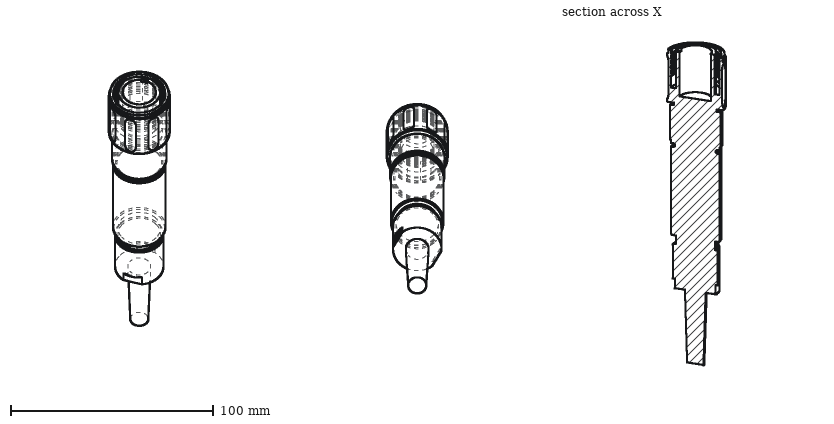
import cadquery as cq

total_length = 167.0
collar_top = 166.0
collar_step_z = 163.6
collar_bottom = 137.7
coupling_top = 136.7
coupling_bottom = 117.5
groove_top = 116.0
body_top = 114.2
body_bottom = 67.0
shell_top = 62.6
shell_bottom = 38.7

collar_radius = 30.2 / 2
collar_rim_radius = 14.5
coupling_radius = 13.5
body_radius = 13.0
shell_radius = 12.0
upper_neck_radius = 11.5
groove_radius = 11.0
lower_neck_radius = 10.5
cable_top_radius = 5.7
cable_end_radius = 4.5
edge_chamfer = 0.5
body_chamfer = 0.8
groove_chamfer = 0.7

sleeve_radius = 10.3
bore_radius = 8.2
bore_depth = 25.0
key_notch_width = 3.0
key_notch_reach = 9.7
key_notch_depth = 1.3
gap_radius = 12.9
gap_depth = 20.0
thread_crest_radius = 12.0
thread_pitch = 2.7
thread_ridges = 5
first_ridge_z = 163.3

flute_count = 8
flute_tool_radius = 7.8
flute_depth = 0.75
flute_top_center_z = 159.3
flute_length = 16.7

flat_offset = 11.0
flat_height = 5.0


def make_outer_body():
    """Revolve the stepped outside profile, from cable end to collar rim."""
    profile = [
        (0, 0),
        (cable_end_radius, 0),
        (cable_top_radius, shell_bottom),
        (shell_radius, shell_bottom),
        (shell_radius, shell_top - edge_chamfer),
        (shell_radius - edge_chamfer, shell_top),
        (lower_neck_radius, shell_top),
        (lower_neck_radius, body_bottom),
        (body_radius - edge_chamfer, body_bottom),
        (body_radius, body_bottom + body_chamfer),
        (body_radius, body_top),
        (groove_radius + groove_chamfer, body_top),
        (groove_radius, body_top + groove_chamfer),
        (groove_radius, groove_top - groove_chamfer),
        (groove_radius + groove_chamfer, groove_top),
        (body_radius, groove_top),
        (body_radius, coupling_bottom),
        (coupling_radius, coupling_bottom + edge_chamfer),
        (coupling_radius, coupling_top - edge_chamfer),
        (coupling_radius - edge_chamfer, coupling_top),
        (upper_neck_radius, coupling_top),
        (upper_neck_radius, collar_bottom),
        (collar_radius - edge_chamfer, collar_bottom),
        (collar_radius, collar_bottom + edge_chamfer),
        (collar_radius, collar_step_z),
        (collar_rim_radius, collar_step_z + edge_chamfer),
        (collar_rim_radius, collar_top),
        (sleeve_radius, collar_top),
        (sleeve_radius, total_length),
        (0, total_length),
    ]
    return cq.Workplane("XZ").polyline(profile).close().revolve(360, (0, 0), (0, 1))


def make_thread_gap():
    """Ring-shaped gap whose outer wall carries evenly spaced V ridges."""
    ridge_half_width = thread_pitch / 4
    gap_bottom = collar_top - gap_depth
    outline = cq.Workplane("XZ").moveTo(sleeve_radius, gap_bottom)
    outline = outline.lineTo(sleeve_radius, collar_top).lineTo(gap_radius, collar_top)
    for ridge in range(thread_ridges):
        crest_z = first_ridge_z - ridge * thread_pitch
        outline = outline.lineTo(gap_radius, crest_z + ridge_half_width)
        outline = outline.lineTo(thread_crest_radius, crest_z)
        outline = outline.lineTo(gap_radius, crest_z - ridge_half_width)
    outline = outline.lineTo(gap_radius, gap_bottom).close()
    return outline.revolve(360, (0, 0), (0, 1))


def make_socket_bore():
    """Blind bore in the sleeve with a shallow key notch on its +Y side."""
    sleeve_top = cq.Workplane("XY").workplane(offset=total_length)
    bore = sleeve_top.circle(bore_radius).extrude(-bore_depth)
    notch_outline = sleeve_top.center(0, key_notch_reach / 2).rect(key_notch_width, key_notch_reach)
    key_notch = notch_outline.extrude(-key_notch_depth)
    return bore.union(key_notch)


def make_flute_tool():
    """Round-ended cutter that grazes the collar on its +X side."""
    axis_distance = collar_radius + flute_tool_radius - flute_depth
    bottom_center_z = flute_top_center_z - flute_length
    straight = cq.Workplane("XY").circle(flute_tool_radius).extrude(flute_length)
    ball = cq.Workplane("XY").sphere(flute_tool_radius)
    tool = straight.union(ball).union(ball.translate((0, 0, flute_length)))
    return tool.translate((axis_distance, 0, bottom_center_z))


def make_flat_cut(side):
    """Block that trims one wrench flat; side is +1 or -1 along Y."""
    block = cq.Workplane("XY").box(2 * shell_radius, shell_radius, flat_height, centered=(True, True, False))
    return block.translate((0, side * (flat_offset + shell_radius / 2), shell_bottom))


result = make_outer_body().cut(make_thread_gap()).cut(make_socket_bore())
flute_tool = make_flute_tool()
for flute in range(flute_count):
    result = result.cut(flute_tool.rotate((0, 0, 0), (0, 0, 1), flute * 360 / flute_count))
for side in (1, -1):
    result = result.cut(make_flat_cut(side))